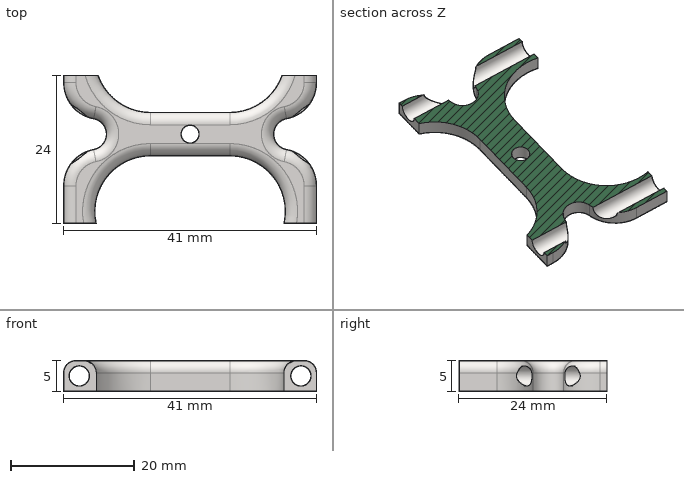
import cadquery as cq
import math

length = 41.0
height = 5.0
front_y = -14.47
back_y = 9.5

bar_half_width = 3.53
inner_radius = 8.98
inner_center_x = 6.45
ear_radius = 6.0
ear_center_y = 8.35
notch_depth = 6.93

edge_round = 2.0
leg_hole_diameter = 3.25
leg_hole_x = 17.95
leg_hole_z = 2.5
center_hole_diameter = 2.85

half_length = length / 2
inner_center_y = bar_half_width + inner_radius
ear_center_x = half_length - ear_radius
notch_bottom_x = half_length - notch_depth

offset_x = notch_bottom_x - ear_center_x
notch_radius = (
    (offset_x**2 + ear_center_y**2 - ear_radius**2) / (2 * (ear_radius - offset_x))
)
notch_center_x = notch_bottom_x + notch_radius
ear_tilt = math.atan2(-ear_center_y, notch_center_x - ear_center_x)


def inner_bend_x(y):
    """X on the concave leg bend at a given Y, for the +X leg."""
    rise = abs(y) - inner_center_y
    return inner_center_x + math.sqrt(inner_radius**2 - rise**2)


def ear_point(angle):
    """Point on the ear arc of the leg at +X, +Y."""
    return (
        ear_center_x + ear_radius * math.cos(angle),
        ear_center_y + ear_radius * math.sin(angle),
    )


def mirrored(point, side_x, side_y):
    return (side_x * point[0], side_y * point[1])


def inner_bend_middle(end_y):
    """Point halfway along the concave bend that ends at end_y."""
    start_angle = -math.pi / 2
    end_angle = math.atan2(abs(end_y) - inner_center_y, inner_bend_x(end_y) - inner_center_x)
    angle = (start_angle + end_angle) / 2
    return (
        inner_center_x + inner_radius * math.cos(angle),
        inner_center_y + inner_radius * math.sin(angle),
    )


def add_inner_edge(outline, end_y, side_x):
    """Run from the tip of one leg along the bar to the tip of the opposite leg."""
    side_y = math.copysign(1, end_y)
    bend_start = (inner_center_x, bar_half_width)
    bend_middle = inner_bend_middle(end_y)
    bend_end = (inner_bend_x(end_y), abs(end_y))
    return (
        outline.lineTo(*mirrored(bend_end, side_x, side_y))
        .threePointArc(mirrored(bend_middle, side_x, side_y), mirrored(bend_start, side_x, side_y))
        .lineTo(*mirrored(bend_start, -side_x, side_y))
        .threePointArc(mirrored(bend_middle, -side_x, side_y), mirrored(bend_end, -side_x, side_y))
    )


def add_outer_edge(outline, start_y, end_y, side_x):
    """Run from one leg tip around both ears and the notch to the other leg tip."""
    side_y = math.copysign(1, start_y)
    ear_start = ear_point(0)
    ear_middle = ear_point(ear_tilt / 2)
    ear_end = ear_point(ear_tilt)
    return (
        outline.lineTo(side_x * half_length, start_y)
        .lineTo(*mirrored(ear_start, side_x, side_y))
        .threePointArc(mirrored(ear_middle, side_x, side_y), mirrored(ear_end, side_x, side_y))
        .threePointArc((side_x * notch_bottom_x, 0), mirrored(ear_end, side_x, -side_y))
        .threePointArc(mirrored(ear_middle, side_x, -side_y), mirrored(ear_start, side_x, -side_y))
        .lineTo(side_x * half_length, end_y)
    )


outline = cq.Workplane("XY").moveTo(half_length, front_y)
outline = add_inner_edge(outline, front_y, 1)
outline = add_outer_edge(outline, front_y, back_y, -1)
outline = add_inner_edge(outline, back_y, -1)
outline = add_outer_edge(outline, back_y, front_y, 1)
body = outline.close().extrude(height)

top_edges = body.faces(">Z").edges()
tip_edges = top_edges.edges("<Y or >Y")
body = body.newObject([e for e in top_edges.vals() if e not in tip_edges.vals()]).fillet(edge_round)

leg_holes = (
    cq.Workplane("XZ", origin=(0, back_y, 0))
    .pushPoints([(-leg_hole_x, leg_hole_z), (leg_hole_x, leg_hole_z)])
    .circle(leg_hole_diameter / 2)
    .extrude(back_y - front_y)
)
center_hole = cq.Workplane("XY").circle(center_hole_diameter / 2).extrude(height)

result = body.cut(leg_holes).cut(center_hole)